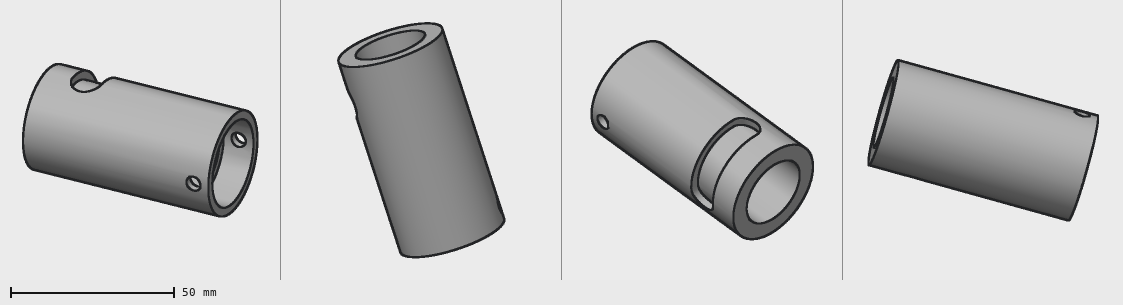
import cadquery as cq

length = 63.5
outer_radius = 33.4 / 2
bore_diameter = 22.2

pin_diameter = 4.8
pin_from_end = 5.1

socket_diameter = 27.8
socket_depth = 2 * pin_from_end

groove_x = 14.0
groove_width = 9.7
groove_floor_radius = socket_diameter / 2
groove_overrun = 1.0

reach = 2 * outer_radius


def make_tube():
    return (
        cq.Workplane("YZ")
        .circle(outer_radius)
        .circle(bore_diameter / 2)
        .extrude(length)
    )


def make_socket():
    return (
        cq.Workplane("YZ", origin=(length - socket_depth, 0, 0))
        .circle(socket_diameter / 2)
        .extrude(socket_depth)
    )


def make_pin_hole():
    return (
        cq.Workplane("XZ")
        .center(length - pin_from_end, 0)
        .circle(pin_diameter / 2)
        .extrude(reach, both=True)
    )


def make_groove():
    """Ring sector from top (+Z) to side (+Y), ended by rounds milled along Z and Y."""
    ring = (
        cq.Workplane("YZ", origin=(groove_x - groove_width / 2, 0, 0))
        .circle(reach)
        .circle(groove_floor_radius)
        .extrude(groove_width)
    )
    sector = cq.Workplane("XY").box(groove_width, reach, reach, centered=(True, False, False))
    sector = sector.translate((groove_x, -groove_overrun, -groove_overrun))
    top_end = (
        cq.Workplane("XY")
        .center(groove_x, -groove_overrun)
        .circle(groove_width / 2)
        .extrude(reach)
    )
    side_end = (
        cq.Workplane("XZ")
        .center(groove_x, -groove_overrun)
        .circle(groove_width / 2)
        .extrude(-reach)
    )
    return ring.intersect(sector.union(top_end).union(side_end))


result = make_tube().cut(make_socket()).cut(make_pin_hole()).cut(make_groove())